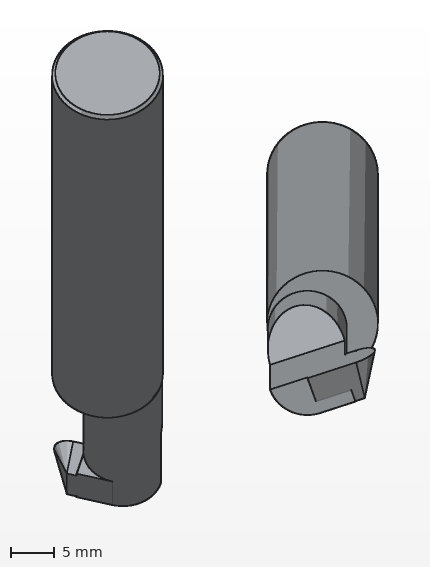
import cadquery as cq
import math

total_length = 76.1
shank_diameter = 12.7
shank_chamfer = 0.4
neck_diameter = 9.05
shoulder_z = 18.95
neck_bottom_z = 0.3
runout_top_z = 13.7
runout_bottom_z = 9.75
nose_radius = 2.3
flank_back_x = -3.6
flank_bottom_z = 0.45
flank_top_z = 4.4
head_step_x = -2.4
head_top_z = 4.8

shank_radius = shank_diameter / 2
neck_radius = neck_diameter / 2
neck_x = shank_radius - neck_radius
tip_x = -shank_radius
nose_x = tip_x + nose_radius
nose_height = 2 * nose_radius


def make_shank():
    shank = cq.Workplane("XY", origin=(0, 0, shoulder_z)).circle(shank_radius)
    return shank.extrude(total_length - shoulder_z).faces(">Z").chamfer(shank_chamfer)


def make_neck():
    """Eccentric round neck, cut down to its -Y half below a sloped runout."""
    neck = cq.Workplane("XY", origin=(neck_x, 0, neck_bottom_z)).circle(neck_radius)
    neck = neck.extrude(shoulder_z - neck_bottom_z)
    relief = (
        cq.Workplane("YZ")
        .moveTo(0, 0)
        .lineTo(neck_radius, 0)
        .lineTo(neck_radius, runout_top_z)
        .lineTo(0, runout_bottom_z)
        .close()
        .extrude(shank_diameter, both=True)
    )
    return neck.cut(relief)


def make_head_block():
    """Block from the rake face at Y = 0 to the front tangent of the neck."""
    size = (neck_x - head_step_x, neck_radius, head_top_z - neck_bottom_z)
    corner = (head_step_x, -neck_radius, neck_bottom_z)
    return cq.Workplane("XY", origin=corner).box(*size, centered=False)


def cone_to_point(base, apex):
    """Solid joining a flat closed outline to a single point."""
    return cq.Workplane(cq.occ_impl.shapes.loft(base, cq.Vertex.makeVertex(*apex), cap=True, ruled=True))


def make_nose():
    """Half-round cutting edge at Y = 0, drawn back to a straight vertical edge at the front.

    Two cone patches and a flat triangular flank join the round edge to the straight one.
    """
    center = (nose_x, nose_radius)
    tip = (tip_x, nose_radius)
    back_low = (flank_back_x, -neck_radius, flank_bottom_z)
    back_high = (flank_back_x, -neck_radius, flank_top_z)
    arc_offset = nose_radius * math.sqrt(0.5)

    rake_outline = (
        cq.Workplane("XZ")
        .moveTo(nose_x, 0)
        .lineTo(neck_x, 0)
        .lineTo(neck_x, nose_height)
        .lineTo(nose_x, nose_height)
        .close()
    )
    nose = (
        rake_outline.workplane(offset=neck_radius)
        .moveTo(flank_back_x, flank_bottom_z)
        .lineTo(neck_x, flank_bottom_z)
        .lineTo(neck_x, flank_top_z)
        .lineTo(flank_back_x, flank_top_z)
        .close()
        .loft(ruled=True)
    )

    for side, apex in ((-1, back_low), (1, back_high)):
        quarter = (
            cq.Workplane("XZ")
            .moveTo(*center)
            .lineTo(*tip)
            .threePointArc(
                (nose_x - arc_offset, nose_radius + side * arc_offset),
                (nose_x, nose_radius + side * nose_radius),
            )
            .close()
        )
        nose = nose.union(cone_to_point(quarter.val(), apex))

    flank_base = cq.Wire.makePolygon([(nose_x, 0, nose_radius), back_low, back_high], close=True)
    return nose.union(cone_to_point(flank_base, (tip_x, 0, nose_radius)))


result = make_shank().union(make_neck()).union(make_head_block()).union(make_nose())